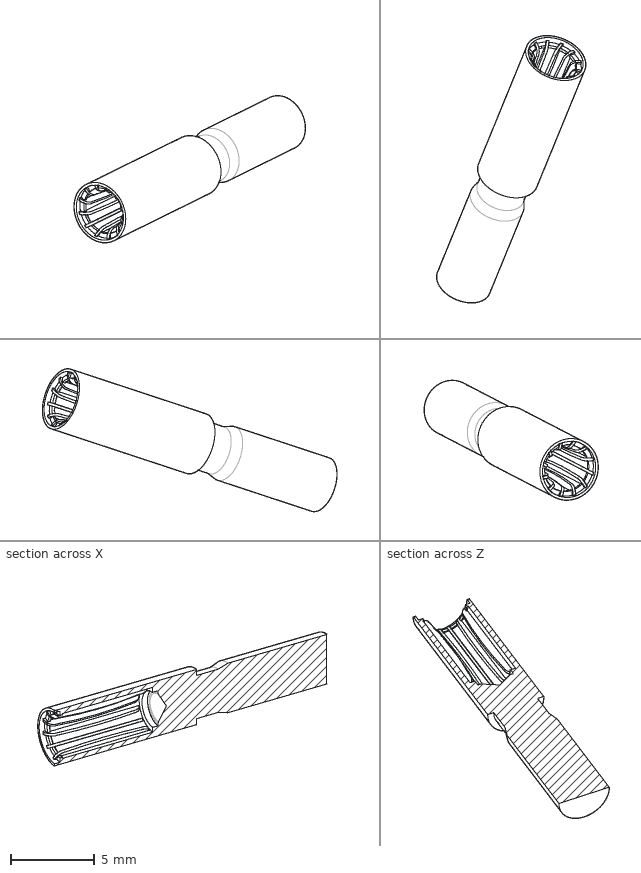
import cadquery as cq
import math

total_length = 19.35
socket_radius = 1.9
socket_length = 10.1
neck_radius = 1.49
neck_length = 1.5
flare_length = 0.7
shank_radius = 1.7

mouth_radius = 1.72
mouth_depth = 0.39
lip_radius = 1.43
lip_length = 0.2
sleeve_radius = 1.5
sleeve_depth = 6.97
counterbore_radius = 1.18
counterbore_depth = 0.39
seat_radius = 1.03
pilot_radius = 0.93
drill_point_angle = 118.0

blade_count = 12
blade_thickness = 0.17
blade_lean = 15.0
blade_root_radius = 1.68
blade_shoulder_radius = 1.15
blade_crest_radius = 1.0
blade_front_gap = 0.23
blade_ramp_length = 0.62
blade_overlap = 0.05

mouth_y = -total_length / 2
back_y = total_length / 2
socket_back_y = mouth_y + socket_length
flare_start_y = socket_back_y + neck_length
flare_end_y = flare_start_y + flare_length
lip_start_y = mouth_y + mouth_depth
sleeve_start_y = lip_start_y + lip_length
sleeve_end_y = mouth_y + sleeve_depth
counterbore_end_y = sleeve_end_y + counterbore_depth
drill_slope = math.radians(90 - drill_point_angle / 2)
seat_end_y = counterbore_end_y + (seat_radius - pilot_radius) * math.tan(drill_slope / 2)
drill_tip_y = seat_end_y + pilot_radius * math.tan(drill_slope)


def revolve_about_y(profile):
    return profile.close().revolve(360, (0, 0, 0), (0, 1, 0))


def make_body():
    """Socket barrel, neck, flare and shank as one solid of revolution."""
    profile = (
        cq.Workplane("XY")
        .moveTo(0, mouth_y)
        .lineTo(socket_radius, mouth_y)
        .lineTo(socket_radius, socket_back_y)
        .lineTo(neck_radius, socket_back_y)
        .lineTo(neck_radius, flare_start_y)
        .lineTo(shank_radius, flare_end_y)
        .lineTo(shank_radius, back_y)
        .lineTo(0, back_y)
    )
    return revolve_about_y(profile)


def make_bore():
    """Stepped blind bore: mouth, lip, sleeve, counterbore, rounded seat and drill point."""
    profile = (
        cq.Workplane("XY")
        .moveTo(0, mouth_y)
        .lineTo(mouth_radius, mouth_y)
        .lineTo(mouth_radius, lip_start_y)
        .lineTo(lip_radius, lip_start_y)
        .lineTo(lip_radius, sleeve_start_y)
        .lineTo(sleeve_radius, sleeve_start_y)
        .lineTo(sleeve_radius, sleeve_end_y)
        .lineTo(counterbore_radius, sleeve_end_y)
        .lineTo(counterbore_radius, counterbore_end_y)
        .lineTo(seat_radius, counterbore_end_y)
        .tangentArcPoint((pilot_radius, seat_end_y), relative=False)
        .lineTo(0, drill_tip_y)
    )
    return revolve_about_y(profile)


def make_blade():
    """One blade along Y: a ramp in from the mouth, a bowed crest, a ramp out."""
    front_y = mouth_y + blade_front_gap
    front_shoulder_y = front_y + blade_ramp_length
    back_shoulder_y = sleeve_end_y - blade_ramp_length
    crest_y = (front_shoulder_y + back_shoulder_y) / 2
    ramp_bulge = blade_ramp_length * (1 - math.sin(math.radians(45)))
    ramp_bulge_radius = (
        blade_root_radius
        - (blade_root_radius - blade_shoulder_radius) * math.sin(math.radians(45))
    )
    outer = mouth_radius + blade_overlap
    blade = (
        cq.Workplane("XY")
        .moveTo(outer, front_y)
        .lineTo(blade_root_radius, front_y)
        .threePointArc((ramp_bulge_radius, front_y + ramp_bulge), (blade_shoulder_radius, front_shoulder_y))
        .threePointArc((blade_crest_radius, crest_y), (blade_shoulder_radius, back_shoulder_y))
        .threePointArc((ramp_bulge_radius, sleeve_end_y - ramp_bulge), (blade_root_radius, sleeve_end_y))
        .lineTo(outer, sleeve_end_y)
        .close()
        .extrude(blade_thickness / 2, both=True)
    )
    root = (blade_root_radius, 0, 0)
    return blade.rotate(root, (blade_root_radius, 1, 0), blade_lean)


result = make_body().cut(make_bore())
blade_pitch = 360 / blade_count
for index in range(blade_count):
    angle = (index + 0.5) * blade_pitch
    result = result.union(make_blade().rotate((0, 0, 0), (0, 1, 0), angle))